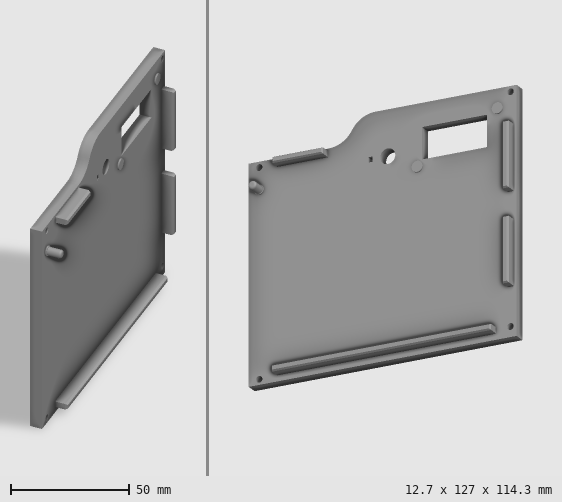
import cadquery as cq
import math

total_depth = 12.7
plate_thickness = 5.5
plate_width = 127.0
plate_height = 114.3

step_drop = 12.7
step_radius = 12.7
step_start_y = 38.0
shoulder_z = plate_height - step_drop
arc_angle = math.acos(1 - step_drop / (2 * step_radius))
arc_width = step_radius * math.sin(arc_angle)
step_middle_y = step_start_y + arc_width
step_end_y = step_start_y + 2 * arc_width

corner_hole_diameter = 3.0
corner_holes = [(5.0, 2.5), (124.1, 4.8), (124.1, 111.6), (5.0, 98.9)]
round_hole_diameter = 7.1
round_hole_center = (65.9, 93.0)
window_width = 30.7
window_height = 14.7
window_center = (97.5, 95.9)
slot_width = 1.9
slot_height = 2.4
slot_center = (57.7, 93.0)

rib_thickness = 2.8
rib_height = 5.7
rib_taper_height = 1.0
rib_taper_inset = 0.5
top_rib_start_y = 13.6
bottom_rib_start_y = 13.5
bottom_rib_length = 103.9
bottom_rib_z = 4.2
top_rib_length = 24.0
top_rib_z = 99.0
side_rib_length = 30.4
side_rib_y = 124.3
side_rib_centers_z = (38.1, 81.4)

boss_diameter = 5.1
boss_height = 0.8
boss_centers = [(118.1, 105.2), (80.1, 85.5)]

pin_center = (5.1, 88.6)
pin_diameter = 3.8
pin_collar_diameter = 4.6
pin_length = total_depth - plate_thickness
pin_tip_radius = 1.0


def make_plate():
    """Plate outline in (Y, Z), extruded along +X."""
    half_angle = arc_angle / 2
    half_rise = step_radius * (1 - math.cos(half_angle))
    half_run = step_radius * math.sin(half_angle)
    return (
        cq.Workplane("YZ")
        .lineTo(plate_width, 0)
        .lineTo(plate_width, plate_height)
        .lineTo(step_end_y, plate_height)
        .threePointArc(
            (step_end_y - half_run, plate_height - half_rise),
            (step_middle_y, plate_height - step_drop / 2),
        )
        .threePointArc(
            (step_start_y + half_run, shoulder_z + half_rise),
            (step_start_y, shoulder_z),
        )
        .lineTo(0, shoulder_z)
        .close()
        .extrude(plate_thickness)
    )


def face_points(*points, x=0):
    """Start a sketch on the plane at x, at the given (Y, Z) points."""
    return cq.Workplane("YZ", origin=(x, 0, 0)).pushPoints(points)


def cut_openings(plate):
    """Cut the corner holes, the round hole, the window and the slot."""
    corners = face_points(*corner_holes).circle(corner_hole_diameter / 2)
    round_hole = face_points(round_hole_center).circle(round_hole_diameter / 2)
    window = face_points(window_center).rect(window_width, window_height)
    slot = face_points(slot_center).rect(slot_width, slot_height)
    for opening in (corners, round_hole, window, slot):
        plate = plate.cut(opening.extrude(plate_thickness))
    return plate


def make_rib(center_y, center_z, size_y, size_z):
    """Upright block on the back face with a tapered crest all round."""
    block = (
        face_points((center_y, center_z), x=plate_thickness)
        .rect(size_y, size_z)
        .extrude(rib_height - rib_taper_height)
    )
    taper_angle = math.degrees(math.atan2(rib_taper_inset, rib_taper_height))
    return block.faces(">X").wires().toPending().extrude(rib_taper_height, taper=taper_angle)


def make_ribs():
    bottom_rib_y = bottom_rib_start_y + bottom_rib_length / 2
    top_rib_y = top_rib_start_y + top_rib_length / 2
    ribs = [
        make_rib(bottom_rib_y, bottom_rib_z, bottom_rib_length, rib_thickness),
        make_rib(top_rib_y, top_rib_z, top_rib_length, rib_thickness),
    ]
    for center_z in side_rib_centers_z:
        ribs.append(make_rib(side_rib_y, center_z, rib_thickness, side_rib_length))
    return ribs


def make_bosses():
    sketch = face_points(*boss_centers, x=plate_thickness)
    return sketch.circle(boss_diameter / 2).extrude(boss_height)


def make_pin():
    """Collar and shaft, revolved about the pin axis with a rounded tip."""
    shaft_radius = pin_diameter / 2
    tip_start = pin_length - pin_tip_radius
    tip_flat_radius = shaft_radius - pin_tip_radius
    collar_radius = pin_collar_diameter / 2
    return (
        cq.Workplane("XY", origin=(plate_thickness, *pin_center))
        .lineTo(0, collar_radius)
        .lineTo(boss_height, collar_radius)
        .lineTo(boss_height, shaft_radius)
        .lineTo(tip_start, shaft_radius)
        .radiusArc((pin_length, tip_flat_radius), pin_tip_radius)
        .lineTo(pin_length, 0)
        .close()
        .revolve(360, (0, 0, 0), (1, 0, 0))
    )


result = cut_openings(make_plate())
for rib in make_ribs():
    result = result.union(rib)
result = result.union(make_bosses()).union(make_pin())